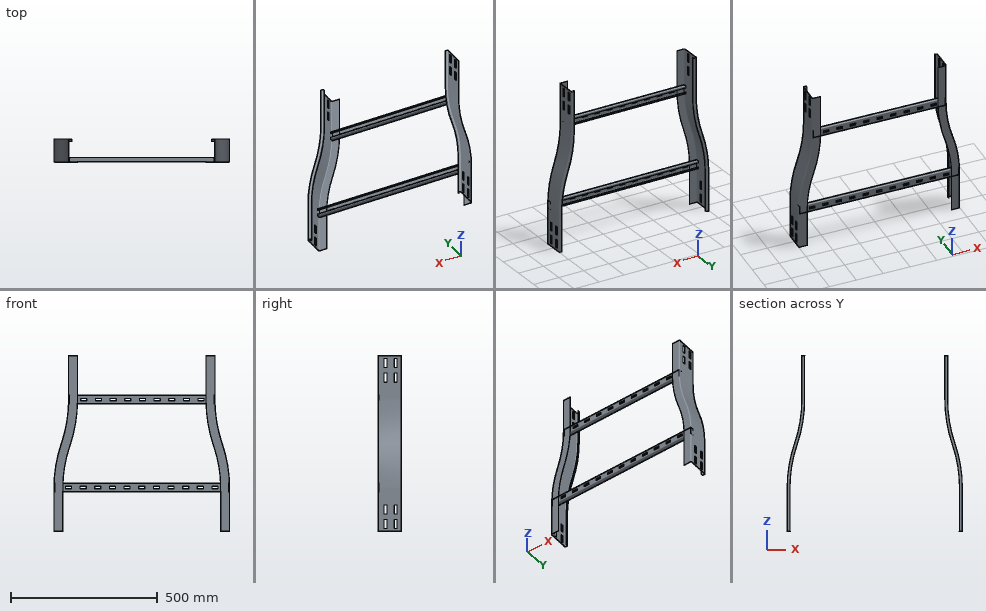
import cadquery as cq

length = 600.0
depth = 80.0
half_span = length / 2
pitch = length / 12
narrowing = pitch

sheet = 1.5
bend = 3.9
front_flange = 31.0
rear_flange = 12.0
lip = 9.0

curve_start = length / 4
curve_middle = length / 2
curve_end = length - curve_start

rail_slot_width = 9.0
rail_slot_length = 30.0
rail_slot_rows = (25.0, 75.0)
rail_slot_columns = (25.0, 60.0)

rung_height = 30.0
rung_depth = 15.0
rung_lip = 7.0
rung_bend = 2.1
rung_slot_length = 20.0
rung_slot_height = 7.0
rung_end_gap = 4.0
upper_slot_shift = 2.5

rung_layout = [
    (curve_start, half_span, 11, 0.0),
    (curve_end, half_span - narrowing, 9, upper_slot_shift),
]


def rail_section():
    """C section at the foot of the left rail: web, plain front flange and lipped rear flange."""
    inner_bend = bend - sheet
    return (
        cq.Workplane("XY", origin=(-half_span, 0, 0))
        .moveTo(0, bend)
        .radiusArc((bend, 0), -bend)
        .lineTo(front_flange, 0)
        .lineTo(front_flange, sheet)
        .lineTo(bend, sheet)
        .radiusArc((sheet, bend), inner_bend)
        .lineTo(sheet, depth - bend)
        .radiusArc((bend, depth - sheet), inner_bend)
        .lineTo(rear_flange - bend, depth - sheet)
        .radiusArc((rear_flange - sheet, depth - bend), inner_bend)
        .lineTo(rear_flange - sheet, depth - lip)
        .lineTo(rear_flange, depth - lip)
        .lineTo(rear_flange, depth - bend)
        .radiusArc((rear_flange - bend, depth), -bend)
        .lineTo(bend, depth)
        .radiusArc((0, depth - bend), -bend)
        .close()
    )


def rail_path():
    """Outer web line of the left rail, from foot to top."""
    return (
        cq.Workplane("XZ")
        .moveTo(-half_span, 0)
        .lineTo(-half_span, curve_start)
        .tangentArcPoint((-half_span + narrowing / 2, curve_middle), relative=False)
        .tangentArcPoint((-half_span + narrowing, curve_end), relative=False)
        .lineTo(-half_span + narrowing, length)
    )


def rail_slots():
    """Rectangular slots through the web at both ends of the left rail."""
    heights = [z for row in rail_slot_rows for z in (row, length - row)]
    return (
        cq.Workplane("YZ", origin=(-half_span, 0, 0))
        .pushPoints([(y, z) for y in rail_slot_columns for z in heights])
        .rect(rail_slot_width, rail_slot_length)
        .extrude(narrowing + bend)
    )


def make_rail(is_right):
    """Side rail; the right one is the mirror image of the left one."""
    rail = rail_section().sweep(rail_path()).cut(rail_slots())
    return rail.mirror("YZ") if is_right else rail


def make_rung(height, outer_half_span, slot_count, slot_shift):
    """Lipped channel against the inside of the front flanges, open to the rear, slotted in front."""
    rung_length = 2 * (outer_half_span - rung_end_gap)
    centre = cq.Workplane("XY", origin=(0, sheet + rung_depth / 2, height))
    outside = (
        centre.box(rung_length, rung_depth, rung_height)
        .edges("|X")
        .fillet(rung_bend)
    )
    inside = (
        centre.box(rung_length, rung_depth - 2 * sheet, rung_height - 2 * sheet)
        .edges("|X")
        .fillet(rung_bend - sheet)
    )
    mouth = (
        centre.center(0, rung_depth / 2)
        .box(rung_length, rung_depth, rung_height - 2 * rung_lip)
    )
    slots = (
        cq.Workplane("XZ", origin=(slot_shift, 0, height))
        .rarray(pitch, 6, slot_count, 1)
        .rect(rung_slot_length, rung_slot_height)
        .extrude(-rung_depth)
    )
    return outside.cut(inside).cut(mouth).cut(slots)


rails = [make_rail(is_right) for is_right in (False, True)]
rungs = [make_rung(*place) for place in rung_layout]

result = cq.Compound.makeCompound([body.val() for body in rails + rungs])